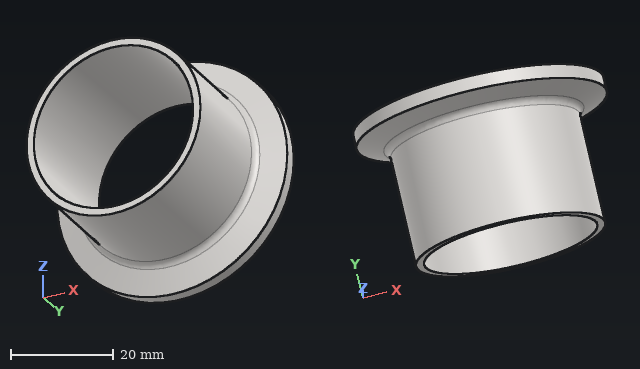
import cadquery as cq
import math

flange_diameter = 50.4
tube_outer_diameter = 38.1
bore_diameter = 34.85
total_length = 28.7
rim_thickness = 2.9
cone_angle = 20.0
neck_fillet = 1.6

flange_radius = flange_diameter / 2
tube_radius = tube_outer_diameter / 2
bore_radius = bore_diameter / 2
cone_depth = (flange_radius - tube_radius) * math.tan(math.radians(cone_angle))

flange_face = total_length / 2
tube_end = -total_length / 2
rim_back = flange_face - rim_thickness
neck = rim_back - cone_depth


def make_body():
    """Solid tube and conical-backed flange, revolved about the Y axis."""
    half_section = (
        cq.Workplane("XY")
        .moveTo(0, tube_end)
        .lineTo(tube_radius, tube_end)
        .lineTo(tube_radius, neck)
        .lineTo(flange_radius, rim_back)
        .lineTo(flange_radius, flange_face)
        .lineTo(0, flange_face)
        .close()
    )
    return half_section.revolve(360, (0, 0, 0), (0, 1, 0))


def round_neck(body):
    """Fillet the circular corner where the cone meets the tube."""
    margin = cone_depth / 2
    neck_zone = cq.selectors.BoxSelector(
        (-flange_diameter, neck - margin, -flange_diameter),
        (flange_diameter, neck + margin, flange_diameter),
    )
    return body.edges("%CIRCLE").edges(neck_zone).fillet(neck_fillet)


def make_bore():
    """Straight bore running the full length of the part."""
    return (
        cq.Workplane("XZ", origin=(0, flange_face, 0))
        .circle(bore_radius)
        .extrude(total_length)
    )


result = round_neck(make_body()).cut(make_bore())